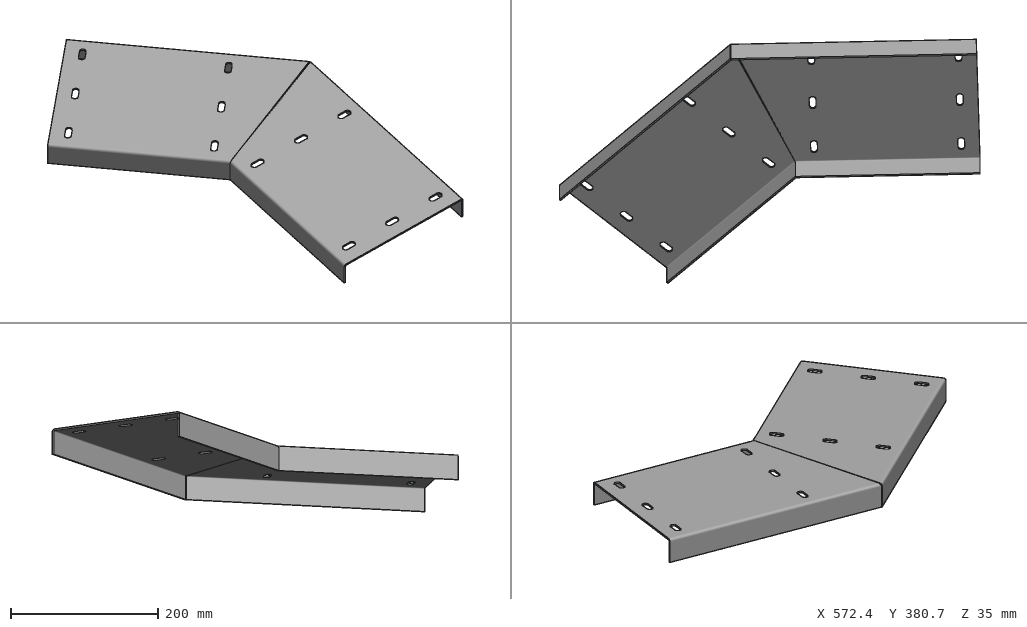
import cadquery as cq
import math

sheet = 2.5
clear_width = 200.4
width = clear_width + 2 * sheet
height = 35.0
bend_radius = 4.0

turn_angle = 44.5
joint_gap = 0.08
inner_length = 250.0
mitre_angle = 22.1
mitre_run = width * math.tan(math.radians(mitre_angle))
outer_length = inner_length + mitre_run

slot_length = 20.0
slot_width = 9.0
slot_pitch = 75.0
slots_per_row = 3
row_spacing = 200.0
end_to_row = 25.0


def channel_section(wide, tall, radius):
    """Outline in the YZ plane, with its two top corners rounded."""
    half = wide / 2
    corner = radius * (1 - math.sqrt(0.5))
    return (
        cq.Workplane("YZ")
        .moveTo(-half, 0)
        .lineTo(half, 0)
        .lineTo(half, tall - radius)
        .threePointArc((half - corner, tall - corner), (half - radius, tall))
        .lineTo(radius - half, tall)
        .threePointArc((corner - half, tall - corner), (-half, tall - radius))
        .close()
    )


def channel_arm():
    """Arm along +X, with the inner corner of its mitre at X = 0, Y = -width / 2."""
    outer = channel_section(width, height, bend_radius)
    inner = channel_section(clear_width, height - sheet, bend_radius - sheet)
    channel = outer.extrude(outer_length).cut(inner.extrude(outer_length))
    channel = channel.translate((-mitre_run, 0, 0))

    mitre_waste = (
        cq.Workplane("XY")
        .moveTo(-mitre_run, width / 2)
        .lineTo(0, -width / 2)
        .lineTo(-mitre_run, -width / 2)
        .close()
        .extrude(height)
    )

    row_center = inner_length - end_to_row - row_spacing / 2
    slots = (
        cq.Workplane("XY")
        .center(row_center, 0)
        .rarray(row_spacing, slot_pitch, 2, slots_per_row)
        .slot2D(slot_length, slot_width, 90)
        .extrude(height)
    )
    return channel.cut(mitre_waste).cut(slots)


straight_arm = channel_arm()
half_turn = math.radians(turn_angle / 2)
turn_normal = cq.Vector(math.cos(half_turn), math.sin(half_turn), 0)
joint_middle = (
    -joint_gap / 2 * turn_normal.x,
    -width / 2 - joint_gap / 2 * turn_normal.y,
    0,
)
angled_arm = straight_arm.mirror(turn_normal, joint_middle)

result = cq.Compound.makeCompound([straight_arm.val(), angled_arm.val()])